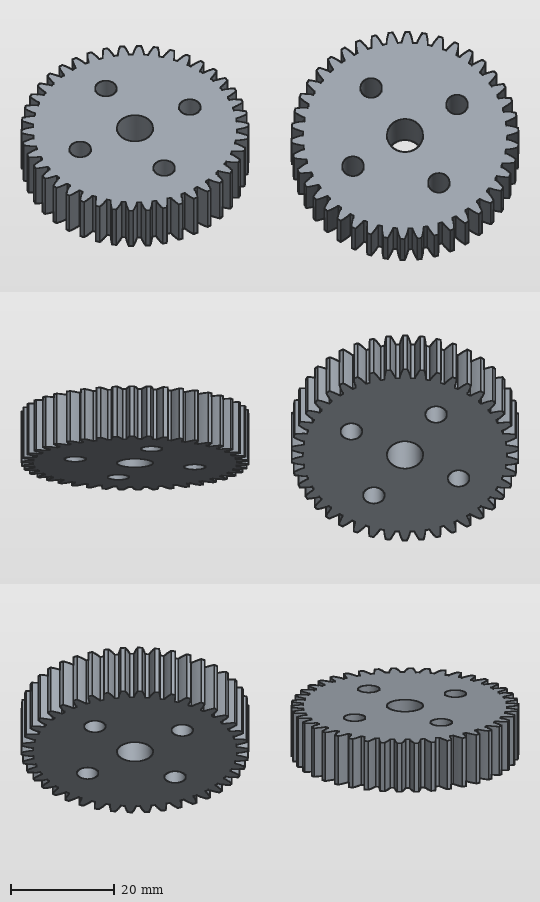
import cadquery as cq
import math

outer_diameter = 44.0
thickness = 10.0
tooth_count = 42
dedendum_factor = 1.25

tip_width = 0.85
pitch_width = 1.6
root_width = 2.2

bore_diameter = 7.0
bolt_hole_diameter = 4.2
bolt_circle_radius = 12.0
bolt_hole_count = 4

module = outer_diameter / (tooth_count + 2)
tip_radius = outer_diameter / 2
pitch_radius = module * tooth_count / 2
root_radius = pitch_radius - dedendum_factor * module
tooth_pitch = 2 * math.pi / tooth_count

tip_half_angle = tip_width / (2 * tip_radius)
pitch_half_angle = pitch_width / (2 * pitch_radius)
root_half_angle = root_width / (2 * root_radius)


def polar(radius, angle):
    return radius * math.cos(angle), radius * math.sin(angle)


def add_tooth(outline, center):
    """Draw one tooth counterclockwise, then the root arc up to the next tooth."""
    next_center = center + tooth_pitch
    outline = outline.threePointArc(
        polar(pitch_radius, center - pitch_half_angle),
        polar(tip_radius, center - tip_half_angle),
    )
    outline = outline.threePointArc(
        polar(tip_radius, center),
        polar(tip_radius, center + tip_half_angle),
    )
    outline = outline.threePointArc(
        polar(pitch_radius, center + pitch_half_angle),
        polar(root_radius, center + root_half_angle),
    )
    return outline.threePointArc(
        polar(root_radius, center + tooth_pitch / 2),
        polar(root_radius, next_center - root_half_angle),
    )


def make_gear_blank():
    first_center = math.pi / 2
    start = polar(root_radius, first_center - root_half_angle)
    outline = cq.Workplane("XY").moveTo(*start)
    for i in range(tooth_count):
        outline = add_tooth(outline, first_center + i * tooth_pitch)
    return outline.close().extrude(thickness)


def cut_holes(gear):
    """Drill the centre bore and the ring of bolt holes right through."""
    gear = gear.faces(">Z").workplane(origin=(0, 0, thickness)).hole(bore_diameter)
    bolt_plane = gear.faces(">Z").workplane(origin=(0, 0, thickness))
    bolt_centers = bolt_plane.polarArray(bolt_circle_radius, 0, 360, bolt_hole_count)
    return bolt_centers.hole(bolt_hole_diameter)


result = cut_holes(make_gear_blank())